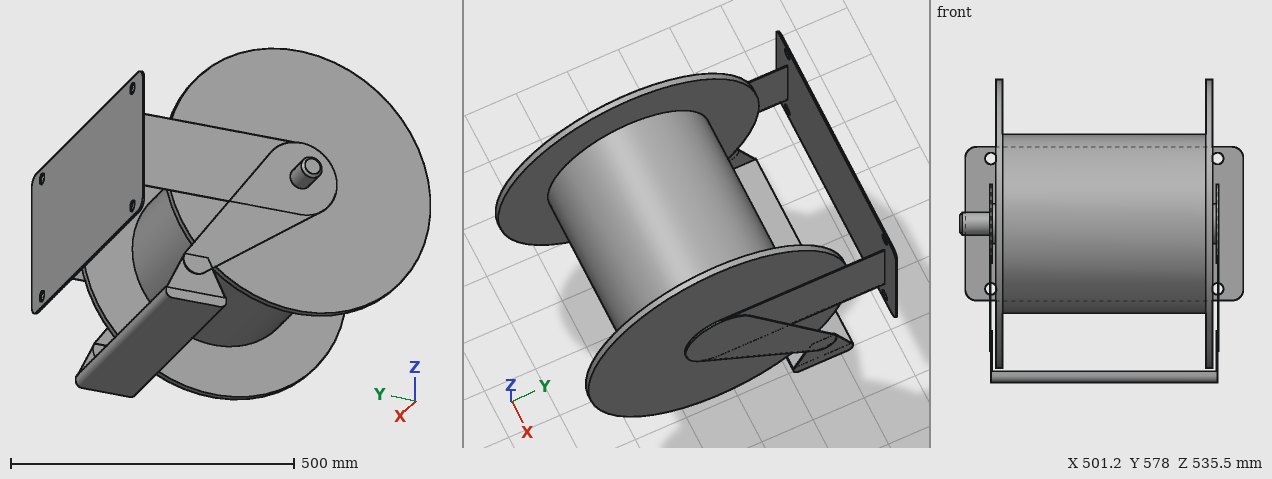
import cadquery as cq
import math


drum_diameter = 316.0
drum_length = 358.5
flange_diameter = 510.0
flange_thickness = 12.0
hub_diameter = 70.0

shaft_diameter = 40.0
shaft_chamfer = 5.0
shaft_end_x = -255.5

overall_depth = 578.0
plate_width = 491.5
plate_height = 271.5
plate_thickness = 3.5
plate_corner_radius = 20.0
mount_hole_diameter = 20.0
mount_hole_spacing_x = 400.0
mount_hole_spacing_z = 230.0

sheet = 2.0
frame_width = 400.0
arm_radius = 70.0
pivot_offset = 200.0
pivot_radius = 25.0

foot_bottom_z = -280.5
cheek_top_z = -189.0
foot_length = 116.0
foot_corner_radius = 13.5
crossbar_height = 20.0
crossbar_edge_radius = 12.0

frame_half = frame_width / 2
arm_inner_x = frame_half - sheet
link_outer_x = frame_half + sheet
flange_inner_x = drum_length / 2
flange_outer_x = flange_inner_x + flange_thickness
plate_back_y = overall_depth - flange_diameter / 2
plate_front_y = plate_back_y - plate_thickness


def disc(diameter, start_x, end_x):
    """Solid cylinder on the reel axis."""
    plane = cq.Workplane("YZ").workplane(offset=start_x)
    return plane.circle(diameter / 2).extrude(end_x - start_x)


def rounded_hull(circles, start_x, end_x):
    """Plate wrapped round (y, z, radius) circles listed counterclockwise, seen from +X."""
    count = len(circles)
    normals = []
    for i in range(count):
        y1, z1, r1 = circles[i]
        y2, z2, r2 = circles[(i + 1) % count]
        heading = math.atan2(z2 - z1, y2 - y1)
        spread = math.acos((r1 - r2) / math.hypot(y2 - y1, z2 - z1))
        normals.append(heading - spread)

    def rim(circle, angle):
        y, z, radius = circle
        return (y + radius * math.cos(angle), z + radius * math.sin(angle))

    outline = cq.Workplane("YZ").workplane(offset=start_x)
    outline = outline.moveTo(*rim(circles[0], normals[0]))
    for i in range(count):
        following = circles[(i + 1) % count]
        arrive = normals[i]
        turn = (normals[(i + 1) % count] - arrive) % (2 * math.pi)
        outline = outline.lineTo(*rim(following, arrive))
        outline = outline.threePointArc(rim(following, arrive + turn / 2), rim(following, arrive + turn))
    return outline.close().extrude(end_x - start_x)


def make_wall_plate():
    plate = cq.Workplane("XY").box(plate_width, plate_thickness, plate_height)
    plate = plate.edges("|Y").fillet(plate_corner_radius)
    plate = (
        plate.faces(">Y").workplane(centerOption="CenterOfBoundBox")
        .rarray(mount_hole_spacing_x, mount_hole_spacing_z, 2, 2)
        .hole(mount_hole_diameter)
    )
    return plate.translate((0, plate_back_y - plate_thickness / 2, 0))


def make_arm(start_x, end_x):
    """Side arm from the wall plate to the rounded end about the reel axis."""
    bar = cq.Workplane("YZ").workplane(offset=start_x).center(plate_front_y / 2, 0)
    bar = bar.rect(plate_front_y, 2 * arm_radius).extrude(end_x - start_x)
    return bar.union(disc(2 * arm_radius, start_x, end_x))


def make_link(start_x, end_x):
    """Tapered plate from the reel axis down to the foot pivot."""
    ends = [(0, 0, arm_radius), (pivot_offset, -pivot_offset, pivot_radius)]
    return rounded_hull(ends, start_x, end_x)


def make_cheek(start_x, end_x):
    """Tapered plate from its flat top near the foot pivot down to the crossbar."""
    half_span = foot_length / 2 - foot_corner_radius
    corner_z = foot_bottom_z + foot_corner_radius
    corners = [
        (pivot_offset, -pivot_offset, pivot_radius),
        (pivot_offset - half_span, corner_z, foot_corner_radius),
        (pivot_offset + half_span, corner_z, foot_corner_radius),
    ]
    cheek = rounded_hull(corners, start_x, end_x)
    below_top = cq.Workplane("XY").workplane(offset=foot_bottom_z)
    below_top = below_top.center((start_x + end_x) / 2, pivot_offset)
    below_top = below_top.rect(end_x - start_x, foot_length).extrude(cheek_top_z - foot_bottom_z)
    return cheek.intersect(below_top)


def make_crossbar():
    """Flat bar joining the cheeks, with its lower edges rounded."""
    bar = cq.Workplane("XY").box(frame_width, foot_length, crossbar_height)
    bar = bar.edges("|X and <Z").fillet(crossbar_edge_radius)
    return bar.translate((0, pivot_offset, foot_bottom_z + crossbar_height / 2))


def both_sides(inner_x, outer_x, make_piece):
    """Same piece on the -X and +X sides."""
    return make_piece(-outer_x, -inner_x).union(make_piece(inner_x, outer_x))


def make_flange(start_x, end_x):
    return disc(flange_diameter, start_x, end_x)


def make_hub(start_x, end_x):
    return disc(hub_diameter, start_x, end_x)


drum = disc(drum_diameter, -flange_inner_x, flange_inner_x)
shaft = disc(shaft_diameter, shaft_end_x, link_outer_x).faces("<X").chamfer(shaft_chamfer)

result = (
    drum.union(both_sides(flange_inner_x, flange_outer_x, make_flange))
    .union(both_sides(flange_outer_x, arm_inner_x, make_hub))
    .union(both_sides(arm_inner_x, frame_half, make_arm))
    .union(both_sides(frame_half, link_outer_x, make_link))
    .union(make_wall_plate())
    .union(both_sides(arm_inner_x, frame_half, make_cheek))
    .union(make_crossbar())
    .union(shaft)
)